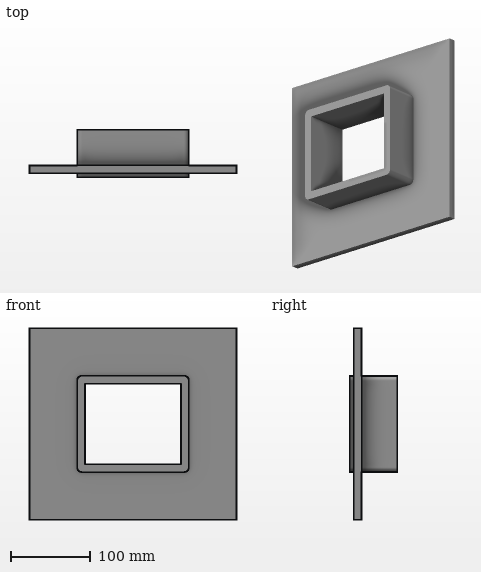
import cadquery as cq

opening_width = 120.5
opening_height = 101.0
sleeve_wall = 10.0
sleeve_length = 60.0
sleeve_corner_radius = 6.0
sleeve_width = opening_width + 2 * sleeve_wall
sleeve_height = opening_height + 2 * sleeve_wall

flange_margin = 60.0
flange_thickness = 10.0
flange_width = sleeve_width + 2 * flange_margin
flange_height = sleeve_height + 2 * flange_margin

front_projection = 5.0


def block_along_y(width, height, length, front_y):
    """Box centred on the Y axis, running from front_y toward +Y."""
    return (
        cq.Workplane("XY")
        .box(width, length, height, centered=(True, False, True))
        .translate((0, front_y, 0))
    )


def make_flange():
    return block_along_y(flange_width, flange_height, flange_thickness, 0)


def make_sleeve():
    sleeve = block_along_y(sleeve_width, sleeve_height, sleeve_length, -front_projection)
    return sleeve.edges("|Y").fillet(sleeve_corner_radius)


def make_opening():
    return block_along_y(opening_width, opening_height, sleeve_length, -front_projection)


result = make_flange().union(make_sleeve()).cut(make_opening())